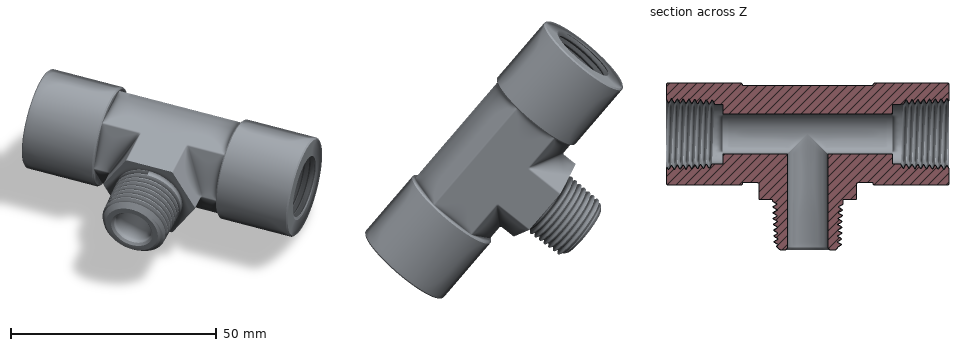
import cadquery as cq
import math

run_length = 69.0
socket_radius = 12.5
socket_length = 18.6
socket_chamfer = 0.35

hex_flats = 20.7
hex_corners = hex_flats / math.cos(math.pi / 6)
hex_fillet = 0.5
branch_face = 16.0

stud_end = 28.2
stud_length = stud_end - branch_face
stud_base_radius = 8.6
stud_tip_radius = 6.75
stud_chamfer_length = 1.4
stud_root = 1.4

bore_radius = 4.8
stud_bore_chamfer = 0.55
socket_bore_depth = 13.8
socket_mouth_radius = 7.6

flank_angle = math.radians(30)
taper = 1 / 32
pitch = 11.3 / 8
groove_width = 1.25
groove_depth = groove_width / 2 / math.tan(flank_angle)
groove_overlap = 0.15
stud_groove_end = 16.7
stud_turns = 9
socket_turns = 8
socket_groove_clock = math.radians(25)


def triangle(points):
    """Flat face closing one end of a thread cutter."""
    return cq.Face.makeFromWires(cq.Wire.makePolygon(points, close=True))


def thread_groove(plane, start_radius, turns, depth):
    """V-shaped cutter on a cone that widens along the plane's normal.

    start_radius is the cone radius at the plane; a positive depth points the
    V away from the axis and a negative depth points it toward the axis.
    """
    direction = math.copysign(1, depth)
    open_side = start_radius - direction * groove_overlap
    half_width = (groove_width / 2) * (1 + groove_overlap / abs(depth))
    cone_angle = math.atan(taper)
    slant = pitch / math.cos(cone_angle)
    corners = [(open_side, -half_width), (start_radius + depth, 0), (open_side, half_width)]
    faces = []
    for turn in range(turns):
        rise = turn * pitch
        helices = [
            cq.Wire.makeHelix(slant, slant, radius + taper * rise, angle=math.degrees(cone_angle)).moved(
                cq.Location(cq.Vector(0, 0, height + rise))
            )
            for radius, height in corners
        ]
        faces += [cq.Face.makeRuledSurface(helices[i - 1], helices[i]) for i in range(len(corners))]
        if turn == 0:
            faces.append(triangle([helix.startPoint() for helix in helices]))
        if turn == turns - 1:
            faces.append(triangle([helix.endPoint() for helix in helices]))
    cutter = cq.Solid.makeSolid(cq.Shell.makeShell(faces))
    return cutter.located(cq.Location(plane))


def hex_body():
    """Run and branch hexagons with flats facing up and down, all edges rounded."""
    bar_length = run_length - socket_length
    run = (
        cq.Workplane("YZ").polygon(6, hex_corners).extrude(bar_length / 2, both=True)
    )
    branch = cq.Workplane("XZ").polygon(6, hex_corners).extrude(branch_face)
    body = run.union(branch, clean=True)
    return body.edges("not(<X or >X or <Y)").fillet(hex_fillet)


def socket(side):
    """Round socket at one end of the run; side is -1 or +1."""
    inner_end = side * (run_length / 2 - socket_length)
    return (
        cq.Workplane("YZ", origin=(inner_end, 0, 0))
        .circle(socket_radius)
        .extrude(side * socket_length)
        .edges()
        .chamfer(socket_chamfer)
    )


def stud():
    """Tapered male thread with a bevelled tip."""
    bevel_start = stud_end - stud_chamfer_length
    bevel_radius = stud_base_radius - taper * (stud_length - stud_chamfer_length)
    blank = (
        cq.Workplane("XY")
        .moveTo(0, -stud_end)
        .lineTo(stud_tip_radius, -stud_end)
        .lineTo(bevel_radius, -bevel_start)
        .lineTo(stud_base_radius, -branch_face)
        .lineTo(stud_base_radius, stud_root - branch_face)
        .lineTo(0, stud_root - branch_face)
        .close()
        .revolve(360, (0, 0, 0), (0, 1, 0))
    )
    groove_start = stud_groove_end + stud_turns * pitch
    start_radius = stud_base_radius - taper * (groove_start - branch_face)
    plane = cq.Plane(origin=(0, -groove_start, 0), xDir=(0, 0, 1), normal=(0, 1, 0))
    return blank.cut(thread_groove(plane, start_radius, stud_turns, -groove_depth))


def socket_cavity(side):
    """Solids to remove for one socket: its tapered bore and its thread groove."""
    mouth = side * run_length / 2
    floor = mouth - side * socket_bore_depth
    floor_radius = socket_mouth_radius - taper * socket_bore_depth
    cone = (
        cq.Workplane("XY")
        .polyline([(floor, 0), (floor, floor_radius), (mouth, socket_mouth_radius), (mouth, 0)])
        .close()
        .revolve(360, (0, 0, 0), (1, 0, 0))
    )
    groove_start = socket_turns * pitch
    start_radius = socket_mouth_radius - taper * groove_start
    plane = cq.Plane(
        origin=(mouth - side * groove_start, 0, 0),
        xDir=(0, -side * math.cos(socket_groove_clock), math.sin(socket_groove_clock)),
        normal=(side, 0, 0),
    )
    return cone, thread_groove(plane, start_radius, socket_turns + 1, groove_depth)


result = hex_body().union(stud())
for side in (-1, 1):
    result = result.union(socket(side))

run_bore = cq.Workplane("YZ").circle(bore_radius).extrude(run_length / 2, both=True)
branch_bore = cq.Workplane("XZ").circle(bore_radius).extrude(stud_end)
bore_bevel = (
    cq.Workplane("XZ", origin=(0, -stud_end, 0))
    .circle(bore_radius + stud_bore_chamfer)
    .extrude(-stud_bore_chamfer, taper=45)
)
result = result.cut(run_bore).cut(branch_bore).cut(bore_bevel)

for side in (-1, 1):
    for cutter in socket_cavity(side):
        result = result.cut(cutter)